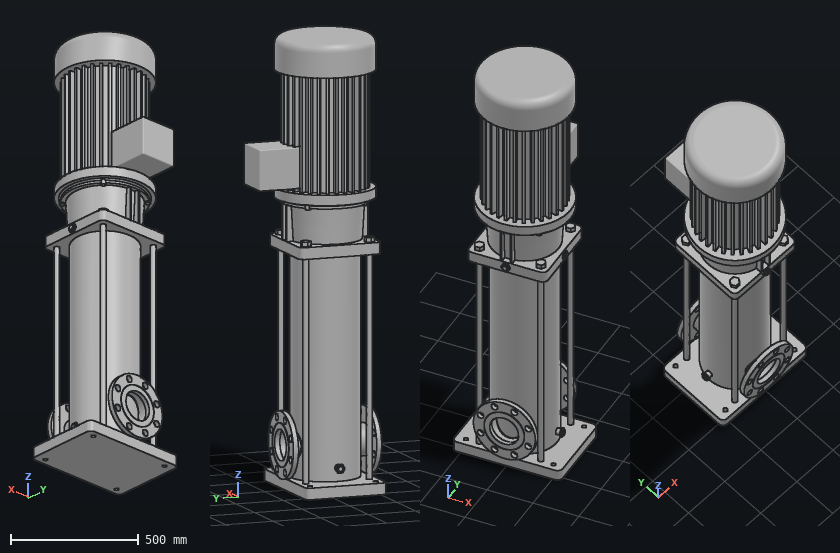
import cadquery as cq
TOTAL_HEIGHT = 1810.0
BASE_THICKNESS = 47.0
HEAD_BOTTOM = 948.0
HEAD_TOP = 995.0
LANTERN_TOP = 1142.0
LANTERN_FLANGE_TOP = 1153.0
MOTOR_FLANGE_BOTTOM = 1160.0
MOTOR_FLANGE_TOP = 1202.0
COWL_BOTTOM = 1669.0

BASE_LENGTH = 472.0
BASE_WIDTH = 342.0
PLATE_CORNER_RADIUS = 24.0
BASE_HOLE_DIAMETER = 18.0
BASE_HOLE_SPACING_X = 382.0
BASE_HOLE_SPACING_Y = 277.0

HEAD_WIDTH = 344.0

TUBE_DIAMETER = 280.0
ROD_DIAMETER = 24.0
ROD_OFFSET = 134.0
NUT_DIAMETER = 42.0
NUT_HEIGHT = 18.0

NOZZLE_HEIGHT = 181.0
NOZZLE_REACH = 188.0
NOZZLE_FLANGE_DIAMETER = 270.0
NOZZLE_FLANGE_THICKNESS = 22.0
RAISED_FACE_DIAMETER = 175.0
RAISED_FACE_HEIGHT = 2.0
NECK_DIAMETER = 132.0
BORE_DIAMETER = 125.0
FLANGE_BOLT_CIRCLE = 225.0
FLANGE_HOLE_DIAMETER = 27.0
FLANGE_HOLE_COUNT = 8

PLUG_HEX_DIAMETER = 38.0
PLUG_CAP_DIAMETER = 22.0
PLUG_HEX_LENGTH = 5.0
PLUG_CAP_LENGTH = 5.0
DRAIN_HEIGHT = 101.0
DRAIN_NECK_DIAMETER = 27.0
DRAIN_NECK_END = 160.0

LANTERN_BOTTOM_DIAMETER = 293.0
LANTERN_TOP_DIAMETER = 310.0
LANTERN_FLANGE_DIAMETER = 350.0
LANTERN_RIB_THICKNESS = 7.0
LANTERN_RIB_OFFSET = 22.0
LANTERN_BOLT_CIRCLE = 337.0
LANTERN_BOLT_DIAMETER = 22.0
LANTERN_BOLT_DROP = 5.0
LANTERN_BOLT_COUNT = 4

MOTOR_DIAMETER = 400.0
SPIGOT_DIAMETER = 364.0
COWL_FILLET = 40.0
FIN_DIAMETER = 350.0
FIN_ROOT_DIAMETER = 300.0
FIN_WIDTH = 10.0
FIN_COUNT = 30

BOX_SIZE = 167.0
BOX_BOTTOM = 1215.0
BOX_REACH = 310.5
BOX_FILLET = 5.0


def cylinder(diameter, bottom, top):
    """Upright cylinder on the pump axis."""
    return cq.Workplane("XY").workplane(offset=bottom).circle(diameter / 2).extrude(top - bottom)


def cone(bottom_diameter, top_diameter, bottom, top):
    """Upright truncated cone on the pump axis."""
    disc = cq.Workplane("XY").workplane(offset=bottom).circle(bottom_diameter / 2)
    return disc.workplane(offset=top - bottom).circle(top_diameter / 2).loft(ruled=True)


def plate(length, width, bottom, top):
    """Flat plate with rounded corners, centred on the pump axis."""
    slab = cq.Workplane("XY").workplane(offset=bottom).rect(length, width).extrude(top - bottom)
    return slab.edges("|Z").fillet(PLATE_CORNER_RADIUS)


def make_base():
    return (
        plate(BASE_LENGTH, BASE_WIDTH, 0, BASE_THICKNESS)
        .faces(">Z")
        .workplane()
        .rect(BASE_HOLE_SPACING_X, BASE_HOLE_SPACING_Y, forConstruction=True)
        .vertices()
        .hole(BASE_HOLE_DIAMETER)
    )


def make_tie_rods():
    corners = [(x, y) for x in (-ROD_OFFSET, ROD_OFFSET) for y in (-ROD_OFFSET, ROD_OFFSET)]
    rods = (
        cq.Workplane("XY")
        .workplane(offset=BASE_THICKNESS)
        .pushPoints(corners)
        .circle(ROD_DIAMETER / 2)
        .extrude(HEAD_TOP - BASE_THICKNESS)
    )
    nuts = (
        cq.Workplane("XY")
        .workplane(offset=HEAD_TOP)
        .pushPoints(corners)
        .polygon(6, NUT_DIAMETER)
        .extrude(NUT_HEIGHT)
    )
    return rods.union(nuts)


def make_nozzle():
    """Flanged nozzle on the -Y side, hollow down to the tube wall."""
    flange_front = NOZZLE_REACH - RAISED_FACE_HEIGHT
    flange_back = flange_front - NOZZLE_FLANGE_THICKNESS

    def disc(diameter, start, end):
        plane = cq.Workplane("XZ", origin=(0, -start, NOZZLE_HEIGHT))
        return plane.circle(diameter / 2).extrude(end - start)

    nozzle = (
        disc(NECK_DIAMETER, 0, flange_back)
        .union(disc(NOZZLE_FLANGE_DIAMETER, flange_back, flange_front))
        .union(disc(RAISED_FACE_DIAMETER, flange_front, NOZZLE_REACH))
        .cut(disc(BORE_DIAMETER, 0, NOZZLE_REACH))
    )
    half_step = 180 / FLANGE_HOLE_COUNT
    bolt_holes = (
        cq.Workplane("XZ", origin=(0, -flange_back, NOZZLE_HEIGHT))
        .polarArray(FLANGE_BOLT_CIRCLE / 2, half_step, 360, FLANGE_HOLE_COUNT)
        .circle(FLANGE_HOLE_DIAMETER / 2)
        .extrude(NOZZLE_FLANGE_THICKNESS)
    )
    return nozzle.cut(bolt_holes)


def make_plug(seat, height):
    """Hexagon head with a round cap, facing +X and seated at the given distance from the axis."""
    plane = cq.Workplane("YZ", origin=(seat, 0, height))
    head = plane.polygon(6, PLUG_HEX_DIAMETER).extrude(PLUG_HEX_LENGTH)
    cap = plane.circle(PLUG_CAP_DIAMETER / 2).extrude(PLUG_HEX_LENGTH + PLUG_CAP_LENGTH)
    return head.union(cap)


def make_drain_plug():
    """Plug on a round neck that reaches into the +X side of the tube."""
    neck = cq.Workplane("YZ", origin=(0, 0, DRAIN_HEIGHT)).circle(DRAIN_NECK_DIAMETER / 2)
    return neck.extrude(DRAIN_NECK_END).union(make_plug(DRAIN_NECK_END, DRAIN_HEIGHT))


def make_lantern():
    body = cone(LANTERN_BOTTOM_DIAMETER, LANTERN_TOP_DIAMETER, HEAD_TOP, LANTERN_TOP)
    ribs = (
        cq.Workplane("XY")
        .workplane(offset=HEAD_TOP)
        .pushPoints([(-LANTERN_RIB_OFFSET, 0), (LANTERN_RIB_OFFSET, 0)])
        .rect(LANTERN_RIB_THICKNESS, HEAD_WIDTH)
        .extrude(LANTERN_TOP - HEAD_TOP)
    )
    flange = cylinder(LANTERN_FLANGE_DIAMETER, LANTERN_TOP, LANTERN_FLANGE_TOP)
    bolts = (
        cq.Workplane("XY")
        .workplane(offset=LANTERN_TOP - LANTERN_BOLT_DROP)
        .polarArray(LANTERN_BOLT_CIRCLE / 2, 180 / LANTERN_BOLT_COUNT, 360, LANTERN_BOLT_COUNT)
        .circle(LANTERN_BOLT_DIAMETER / 2)
        .extrude(MOTOR_FLANGE_BOTTOM - LANTERN_TOP + LANTERN_BOLT_DROP)
    )
    return body.union(ribs).union(flange).union(bolts)


def make_motor():
    flange = cylinder(MOTOR_DIAMETER, MOTOR_FLANGE_BOTTOM, MOTOR_FLANGE_TOP)
    core = cylinder(FIN_ROOT_DIAMETER, MOTOR_FLANGE_TOP, COWL_BOTTOM)
    spigot = cone(LANTERN_FLANGE_DIAMETER, SPIGOT_DIAMETER, LANTERN_FLANGE_TOP, MOTOR_FLANGE_BOTTOM)
    fin_pitch = 360 / FIN_COUNT
    fins = (
        cq.Workplane("XY")
        .workplane(offset=MOTOR_FLANGE_TOP)
        .polarArray(FIN_DIAMETER / 4, fin_pitch / 2, 360, FIN_COUNT)
        .rect(FIN_DIAMETER / 2, FIN_WIDTH)
        .extrude(COWL_BOTTOM - MOTOR_FLANGE_TOP)
    )
    cowl = cylinder(MOTOR_DIAMETER, COWL_BOTTOM, TOTAL_HEIGHT).faces(">Z").edges().fillet(COWL_FILLET)
    return core.union(fins).union(spigot).union(flange).union(cowl)


def make_terminal_box():
    box = cq.Workplane("XY").box(BOX_SIZE, BOX_REACH, BOX_SIZE, centered=(True, False, False))
    return box.edges("|Y or >Y").fillet(BOX_FILLET).translate((0, 0, BOX_BOTTOM))


tube = cylinder(TUBE_DIAMETER, BASE_THICKNESS, HEAD_BOTTOM)
nozzle = make_nozzle()
drain_plug = make_drain_plug()
vent_plug = make_plug(HEAD_WIDTH / 2, (HEAD_BOTTOM + HEAD_TOP) / 2)

result = (
    make_base()
    .union(nozzle)
    .union(nozzle.mirror("XZ"))
    .union(tube)
    .union(drain_plug)
    .union(drain_plug.mirror("YZ"))
    .union(plate(HEAD_WIDTH, HEAD_WIDTH, HEAD_BOTTOM, HEAD_TOP))
    .union(vent_plug)
    .union(vent_plug.rotate((0, 0, 0), (0, 0, 1), -90))
    .union(make_tie_rods())
    .union(make_lantern())
    .union(make_motor())
    .union(make_terminal_box())
)